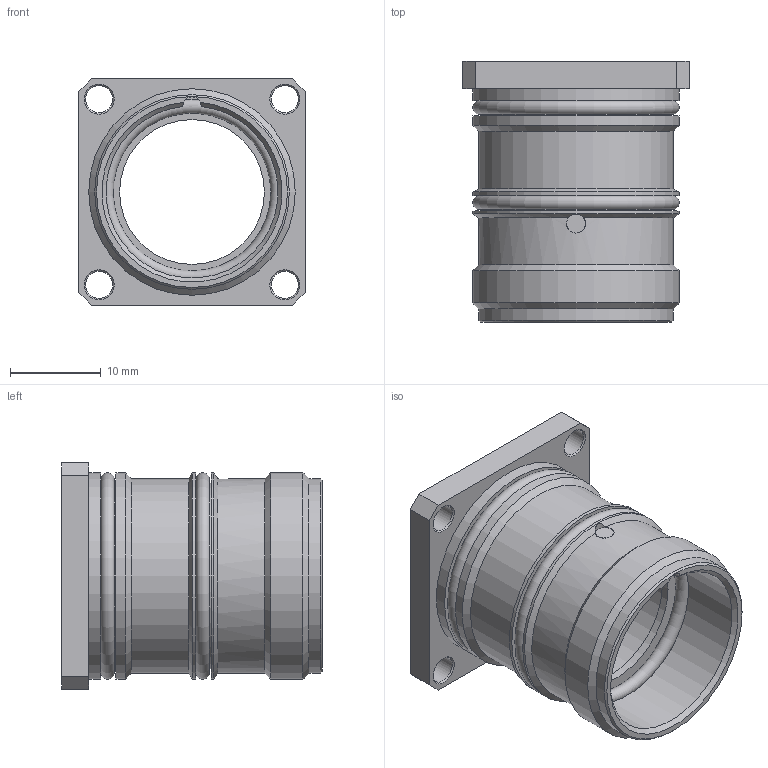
import cadquery as cq
import math


FLANGE_SIZE = 25.0
FLANGE_THICKNESS = 3.0
FLANGE_CORNER_CHAMFER = 1.4
MOUNT_HOLE_PITCH = 20.5
MOUNT_HOLE_DIAMETER = 3.0
MOUNT_HOLE_CHAMFER = 0.15
COUNTERSINK_ANGLE = 90

LENGTH = 28.8
COLLAR_RADIUS = 11.4
BODY_RADIUS = 10.75
COLLAR_SLOPE = COLLAR_RADIUS - BODY_RADIUS
FIRST_COLLAR_END_AT = 7.05
SECOND_COLLAR_START_AT = 14.4
SECOND_COLLAR_BACK_SLOPE = 0.35
SECOND_COLLAR_END_AT = 16.8
SECOND_COLLAR_FRONT_SLOPE = 0.45
THIRD_COLLAR_START_AT = 23.1
THIRD_COLLAR_END_AT = 26.65
MOUTH_EDGE_CHAMFER = 0.2

RING_SECTION_RADIUS = 0.75
GROOVE_WIDTH = 1.7
GROOVE_FLOOR_RADIUS = 10.3
FIRST_GROOVE_START_AT = 4.3
SECOND_GROOVE_START_AT = 14.8
RING_RADIUS = COLLAR_RADIUS - RING_SECTION_RADIUS
RING_SIDE_GAP = 0.03

BORE_RADIUS = 8.5
LIP_RADIUS = 8.0
LIP_LENGTH = 0.9
MOUTH_RADIUS = 9.5
MOUTH_DEPTH = 9.0
SHOULDER_AT = LENGTH - MOUTH_DEPTH
MOUTH_BEVEL_WIDTH = 0.45
MOUTH_BEVEL_LENGTH = 0.5
MOUTH_GROOVE_RADIUS = 10.1
MOUTH_RING_RADIUS = 9.45
MOUTH_RING_GAP = 0.05
MOUTH_RING_AT = SHOULDER_AT + MOUTH_RING_GAP + RING_SECTION_RADIUS

KEYWAY_RADIUS = 1.0
MARKER_RADIUS = 1.05
MARKER_AT = 17.9
MARKER_FLOOR_HEIGHT = 10.62


def revolve_about_y(profile):
    return profile.revolve(360, (0, 0, 0), (0, 1, 0))


def make_flange():
    countersink_diameter = MOUNT_HOLE_DIAMETER + 2 * MOUNT_HOLE_CHAMFER
    flange = (
        cq.Workplane("XZ")
        .rect(FLANGE_SIZE, FLANGE_SIZE)
        .extrude(FLANGE_THICKNESS)
        .edges("|Y")
        .chamfer(FLANGE_CORNER_CHAMFER)
    )
    return (
        flange.faces("<Y")
        .workplane(origin=(0, -FLANGE_THICKNESS, 0))
        .rect(MOUNT_HOLE_PITCH, MOUNT_HOLE_PITCH, forConstruction=True)
        .vertices()
        .cskHole(MOUNT_HOLE_DIAMETER, countersink_diameter, COUNTERSINK_ANGLE)
    )


def add_ringed_groove(outline, start):
    """Continue the outline across a groove whose floor carries a round sealing ring."""
    end = start + GROOVE_WIDTH
    ring_at = start + RING_SIDE_GAP + RING_SECTION_RADIUS
    half_contact = math.sqrt(RING_SECTION_RADIUS**2 - (RING_RADIUS - GROOVE_FLOOR_RADIUS) ** 2)
    return (
        outline.lineTo(COLLAR_RADIUS, -start)
        .lineTo(GROOVE_FLOOR_RADIUS, -start)
        .lineTo(GROOVE_FLOOR_RADIUS, -(ring_at - half_contact))
        .threePointArc(
            (RING_RADIUS + RING_SECTION_RADIUS, -ring_at),
            (GROOVE_FLOOR_RADIUS, -(ring_at + half_contact)),
        )
        .lineTo(GROOVE_FLOOR_RADIUS, -end)
        .lineTo(COLLAR_RADIUS, -end)
    )


def add_points(outline, points):
    for radius, station in points:
        outline = outline.lineTo(radius, -station)
    return outline


def make_sleeve():
    outline = cq.Workplane("XY").lineTo(COLLAR_RADIUS, 0)
    outline = add_ringed_groove(outline, FIRST_GROOVE_START_AT)
    outline = add_points(
        outline,
        [
            (COLLAR_RADIUS, FIRST_COLLAR_END_AT),
            (BODY_RADIUS, FIRST_COLLAR_END_AT + COLLAR_SLOPE),
            (BODY_RADIUS, SECOND_COLLAR_START_AT - SECOND_COLLAR_BACK_SLOPE),
            (COLLAR_RADIUS, SECOND_COLLAR_START_AT),
        ],
    )
    outline = add_ringed_groove(outline, SECOND_GROOVE_START_AT)
    outline = add_points(
        outline,
        [
            (COLLAR_RADIUS, SECOND_COLLAR_END_AT),
            (BODY_RADIUS, SECOND_COLLAR_END_AT + SECOND_COLLAR_FRONT_SLOPE),
            (BODY_RADIUS, THIRD_COLLAR_START_AT - COLLAR_SLOPE),
            (COLLAR_RADIUS, THIRD_COLLAR_START_AT),
            (COLLAR_RADIUS, THIRD_COLLAR_END_AT),
            (BODY_RADIUS, THIRD_COLLAR_END_AT + COLLAR_SLOPE),
            (BODY_RADIUS, LENGTH - MOUTH_EDGE_CHAMFER),
            (BODY_RADIUS - MOUTH_EDGE_CHAMFER, LENGTH),
            (0, LENGTH),
        ],
    )
    return revolve_about_y(outline.close())


def make_bore():
    outline = [
        (BORE_RADIUS, 0),
        (BORE_RADIUS, SHOULDER_AT - LIP_LENGTH),
        (LIP_RADIUS, SHOULDER_AT - LIP_LENGTH),
        (LIP_RADIUS, SHOULDER_AT),
        (MOUTH_GROOVE_RADIUS, SHOULDER_AT),
        (MOUTH_GROOVE_RADIUS, SHOULDER_AT + GROOVE_WIDTH),
        (MOUTH_RADIUS, SHOULDER_AT + GROOVE_WIDTH),
        (MOUTH_RADIUS, LENGTH - MOUTH_BEVEL_LENGTH),
        (MOUTH_RADIUS + MOUTH_BEVEL_WIDTH, LENGTH),
        (0, LENGTH),
    ]
    return revolve_about_y(add_points(cq.Workplane("XY"), outline).close())


def make_mouth_ring():
    return revolve_about_y(
        cq.Workplane("XY").moveTo(MOUTH_RING_RADIUS, -MOUTH_RING_AT).circle(RING_SECTION_RADIUS)
    )


def make_keyway():
    return (
        cq.Workplane("XZ", origin=(0, -SHOULDER_AT, 0))
        .center(0, MOUTH_RADIUS)
        .circle(KEYWAY_RADIUS)
        .extrude(MOUTH_DEPTH)
    )


def make_marker_recess():
    return (
        cq.Workplane("XY", origin=(0, -MARKER_AT, MARKER_FLOOR_HEIGHT))
        .circle(MARKER_RADIUS)
        .extrude(COLLAR_RADIUS - MARKER_FLOOR_HEIGHT)
    )


result = make_flange().union(make_sleeve()).cut(make_bore())
result = result.cut(make_keyway()).cut(make_marker_recess())
result = result.union(make_mouth_ring())